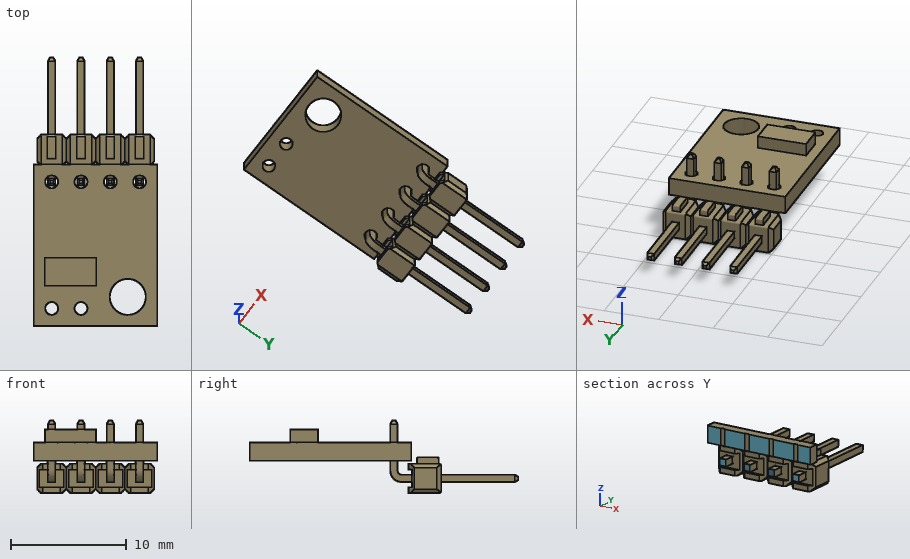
import cadquery as cq
import math


BOARD_WIDTH = 10.7
BOARD_LENGTH = 14.0
BOARD_THICKNESS = 1.6
SMALL_HOLE_DIAMETER = 1.1
SPARE_HOLE_COUNT = 2
SPARE_HOLE_Y = 1.53
MOUNTING_HOLE_DIAMETER = 3.1
MOUNTING_HOLE_X = 2.8
MOUNTING_HOLE_Y = 2.53

CHIP_WIDTH = 4.42
CHIP_LENGTH = 2.42
CHIP_HEIGHT = 1.12
CHIP_X = -2.16
CHIP_Y = 4.72

PIN_COUNT = 4
PIN_PITCH = 2.53
PIN_SIZE = 0.65
PIN_ROW_X = 0.012
PIN_ROW_Y = 12.49
PIN_AXIS_Z = -1.5
PIN_TOP_Z = 3.5
PIN_END_Y = 23.25
PIN_BEND_RADIUS = 0.67
PIN_TIP_LENGTH = 0.33
PIN_TIP_SIZE = 0.28
PIN_XS = [PIN_ROW_X + (i - (PIN_COUNT - 1) / 2) * PIN_PITCH for i in range(PIN_COUNT)]

CELL_HEIGHT = 2.55
CELL_BACK_Y = 16.58
CELL_FRONT_Y = 13.75
CELL_LONG_CHAMFER = 0.35
CELL_BACK_CHAMFER = 0.37
CELL_FRONT_CHAMFER = 0.5
CELL_BACK_FILLET = 0.2
CELL_LENGTH = CELL_BACK_Y - CELL_FRONT_Y
CELL_Y = (CELL_BACK_Y + CELL_FRONT_Y) / 2
CELL_TOP_Z = PIN_AXIS_Z + CELL_HEIGHT / 2
RECESS_DEPTH = 0.3
RECESS_HEIGHT = 1.5
RIB_WIDTH = 0.72
RIB_LENGTH = 1.9
RIB_HEIGHT = 0.55
RIB_Y = 15.41
RIB_FILLET = 0.16


def make_board():
    """Flat plate with the pin holes, two spare holes and a mounting hole."""
    board = cq.Workplane("XY").box(
        BOARD_WIDTH, BOARD_LENGTH, BOARD_THICKNESS, centered=(True, False, False)
    )
    pin_holes = [(x, PIN_ROW_Y) for x in PIN_XS]
    spare_holes = [(x, SPARE_HOLE_Y) for x in PIN_XS[:SPARE_HOLE_COUNT]]
    small_cutters = (
        cq.Workplane("XY")
        .pushPoints(pin_holes + spare_holes)
        .circle(SMALL_HOLE_DIAMETER / 2)
        .extrude(BOARD_THICKNESS)
    )
    mounting_cutter = (
        cq.Workplane("XY")
        .center(MOUNTING_HOLE_X, MOUNTING_HOLE_Y)
        .circle(MOUNTING_HOLE_DIAMETER / 2)
        .extrude(BOARD_THICKNESS)
    )
    return board.cut(small_cutters).cut(mounting_cutter)


def make_chip():
    """Plain block lying on the board."""
    return cq.Workplane("XY").box(
        CHIP_WIDTH, CHIP_LENGTH, CHIP_HEIGHT, centered=(True, True, False)
    ).translate((CHIP_X, CHIP_Y, BOARD_THICKNESS))


def make_tip(plane):
    """Tapered square pin end that grows along the normal of the plane."""
    return (
        cq.Workplane(plane)
        .rect(PIN_SIZE, PIN_SIZE)
        .workplane(offset=PIN_TIP_LENGTH)
        .rect(PIN_TIP_SIZE, PIN_TIP_SIZE)
        .loft(ruled=True)
    )


def make_pin(x):
    """Square wire that runs down through the board and bends towards +Y."""
    top_shoulder = (x, PIN_ROW_Y, PIN_TOP_Z - PIN_TIP_LENGTH)
    end_shoulder = (x, PIN_END_Y - PIN_TIP_LENGTH, PIN_AXIS_Z)
    bend_inset = PIN_BEND_RADIUS * (1 - math.cos(math.pi / 4))
    path = (
        cq.Workplane("YZ", origin=(x, 0, 0))
        .moveTo(PIN_ROW_Y, top_shoulder[2])
        .lineTo(PIN_ROW_Y, PIN_AXIS_Z + PIN_BEND_RADIUS)
        .threePointArc(
            (PIN_ROW_Y + bend_inset, PIN_AXIS_Z + bend_inset),
            (PIN_ROW_Y + PIN_BEND_RADIUS, PIN_AXIS_Z),
        )
        .lineTo(end_shoulder[1], PIN_AXIS_Z)
    )
    wire = cq.Workplane("XY", origin=top_shoulder).rect(PIN_SIZE, PIN_SIZE).sweep(path)
    top_tip = make_tip(cq.Plane(origin=top_shoulder, xDir=(1, 0, 0), normal=(0, 0, 1)))
    end_tip = make_tip(cq.Plane(origin=end_shoulder, xDir=(1, 0, 0), normal=(0, 1, 0)))
    return wire.union(top_tip).union(end_tip)


def make_cell_plan():
    """Cell seen along Z, with its corners cut off, as a prism centred on the origin."""
    side = PIN_PITCH / 2
    end = CELL_LENGTH / 2
    return (
        cq.Workplane("XY")
        .polyline([
            (-side + CELL_FRONT_CHAMFER, -end),
            (side - CELL_FRONT_CHAMFER, -end),
            (side, -end + CELL_FRONT_CHAMFER),
            (side, end - CELL_BACK_CHAMFER),
            (side - CELL_BACK_CHAMFER, end),
            (-side + CELL_BACK_CHAMFER, end),
            (-side, end - CELL_BACK_CHAMFER),
            (-side, -end + CELL_FRONT_CHAMFER),
        ])
        .close()
        .extrude(CELL_HEIGHT / 2, both=True)
    )


def make_rib(x):
    """Narrow bar along the top of a cell, rounded at both ends."""
    return (
        cq.Workplane("XY")
        .box(RIB_WIDTH, RIB_LENGTH, RIB_HEIGHT, centered=(True, True, False))
        .edges(">Z and |X")
        .fillet(RIB_FILLET)
        .translate((x, RIB_Y, CELL_TOP_Z))
    )


def make_cell(x):
    """Block with chamfered sides, rounded back edges, a recess across its front and a rib on top."""
    block = cq.Workplane("XY").box(PIN_PITCH, CELL_LENGTH, CELL_HEIGHT)
    chamfered = block.edges("|Y").chamfer(CELL_LONG_CHAMFER)
    rounded = block.edges(">Y and |X").fillet(CELL_BACK_FILLET)
    recess = (
        cq.Workplane("XY")
        .box(PIN_PITCH, RECESS_DEPTH, RECESS_HEIGHT, centered=(True, False, True))
        .translate((0, -CELL_LENGTH / 2, 0))
    )
    cell = chamfered.intersect(rounded).intersect(make_cell_plan()).cut(recess)
    return cell.translate((x, CELL_Y, PIN_AXIS_Z)).union(make_rib(x))


def make_housing(pins):
    """All cells joined side by side, with a matching hole for every pin."""
    housing = make_cell(PIN_XS[0])
    for x in PIN_XS[1:]:
        housing = housing.union(make_cell(x))
    for pin in pins:
        housing = housing.cut(pin)
    return housing


board = make_board()
chip = make_chip()
pins = [make_pin(x) for x in PIN_XS]
housing = make_housing(pins)

result = cq.Compound.makeCompound(
    [board.val(), chip.val(), housing.val(), *[pin.val() for pin in pins]]
)